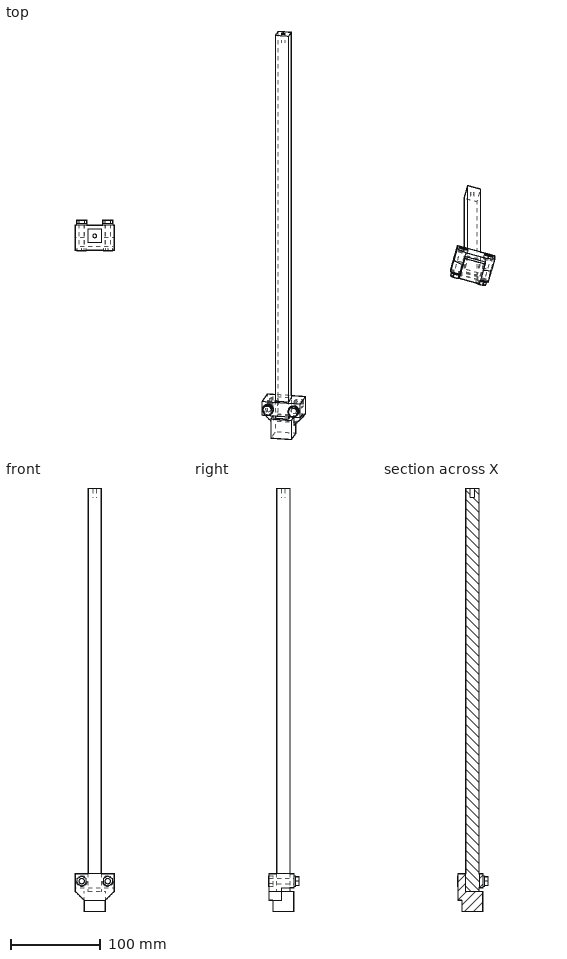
import cadquery as cq
import math


overall_length = 471.5
rod_side = 15.0
rod_hole_diameter = 4.2
rod_hole_depth = 10.0

foot_side = 23.5
foot_height = 22.5

block_width = 43.5
block_depth = 28.0
block_front = -16.0
block_back = block_front + block_depth
block_top = 42.5
head_height = 16.0
head_bottom = block_top - head_height
skirt_back = block_front + block_depth / 2
skirt_bottom = 12.5
shoulder_height = foot_height

screw_spacing = 29.0
screw_height = 34.0
thread_diameter = 6.0
hex_across_flats = 10.0
hex_across_corners = hex_across_flats / math.cos(math.pi / 6)
nut_height = 5.0
nut_projection = 0.67
thread_end_setback = 0.5
washer_diameter = 12.0
washer_thickness = 1.6
screw_head_height = 4.0


def make_rod():
    length = overall_length - foot_height
    rod = cq.Workplane("XY", origin=(0, 0, foot_height)).rect(rod_side, rod_side).extrude(length)
    return rod.faces(">Z").workplane().hole(rod_hole_diameter, rod_hole_depth)


def make_rod_socket():
    return cq.Workplane("XY", origin=(0, 0, foot_height)).rect(rod_side, rod_side).extrude(overall_length)


def across_block(x, y):
    """Sketch plane on a fastener axis; negative extrusions run towards the back (+Y)."""
    return cq.Workplane("XZ", origin=(x, y, screw_height))


def make_fastener(x):
    nut_face = block_front - nut_projection
    thread_end = nut_face + thread_end_setback
    washer_back = block_back + washer_thickness

    nut = (
        across_block(x, nut_face)
        .transformed(rotate=(0, 0, 90))
        .polygon(6, hex_across_corners)
        .circle(thread_diameter / 2)
        .extrude(-nut_height)
    )
    shank = across_block(x, thread_end).circle(thread_diameter / 2).extrude(-(washer_back - thread_end))
    washer = across_block(x, block_back).circle(washer_diameter / 2).extrude(-washer_thickness)
    head = across_block(x, washer_back).polygon(6, hex_across_corners).extrude(-screw_head_height)
    return shank.union(nut).union(washer).union(head)


def make_block():
    half_width = block_width / 2
    half_foot = foot_side / 2
    skirt_thickness = skirt_back - block_front

    head = cq.Workplane("XY").box(block_width, block_depth, head_height, centered=(True, False, False))
    head = head.translate((0, block_front, head_bottom))
    skirt = (
        cq.Workplane("XZ", origin=(0, skirt_back, 0))
        .moveTo(-half_foot, skirt_bottom)
        .lineTo(half_foot, skirt_bottom)
        .lineTo(half_width, shoulder_height)
        .lineTo(half_width, head_bottom)
        .lineTo(-half_width, head_bottom)
        .lineTo(-half_width, shoulder_height)
        .close()
        .extrude(skirt_thickness)
    )
    foot = cq.Workplane("XY").rect(foot_side, foot_side).extrude(foot_height)
    return head.union(skirt).union(foot)


rod = make_rod()
fasteners = [make_fastener(side * screw_spacing / 2) for side in (-1, 1)]

block = make_block().cut(make_rod_socket())
for fastener in fasteners:
    block = block.cut(fastener)

result = cq.Compound.makeCompound([block.val(), rod.val(), *[fastener.val() for fastener in fasteners]])